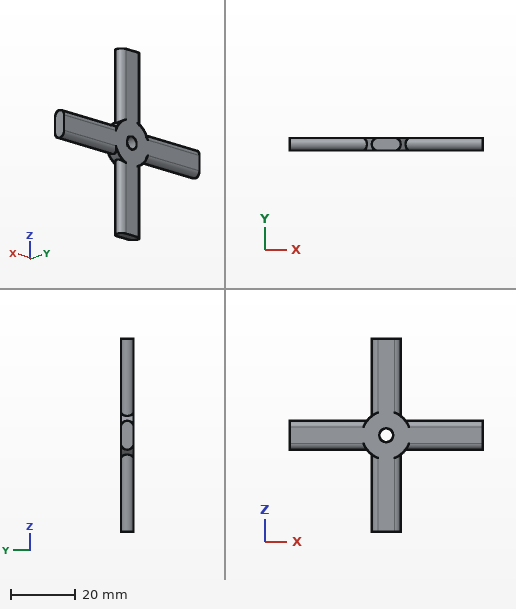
import cadquery as cq

span = 60.0
thickness = 4.0
bar_width = 9.0
hub_diameter = 15.0
bore_diameter = 4.2


def disc(diameter):
    """Cylinder along Y, centred on the origin, as thick as the part."""
    return cq.Workplane("XZ", origin=(0, thickness / 2, 0)).circle(diameter / 2).extrude(thickness)


def bar(section_plane, section_angle):
    """Bar with fully rounded long edges, centred on the origin, normal to its section plane."""
    return (
        cq.Workplane(section_plane)
        .slot2D(bar_width, thickness, section_angle)
        .extrude(span / 2, both=True)
    )


vertical_bar = bar("XY", 0)
horizontal_bar = bar("YZ", 90)

result = (
    vertical_bar
    .union(horizontal_bar)
    .union(disc(hub_diameter))
    .cut(disc(bore_diameter))
)